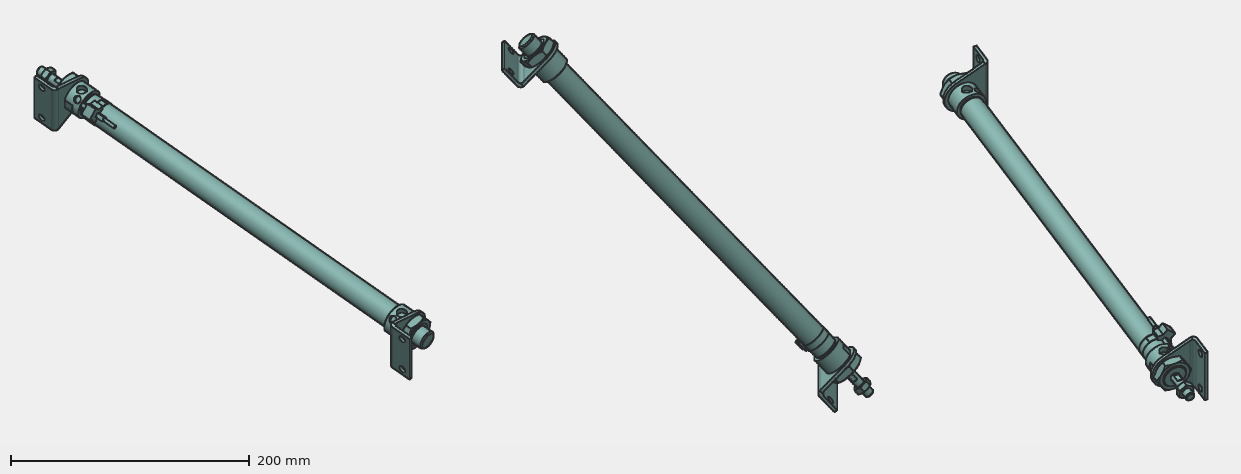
import cadquery as cq
import math


TOTAL_LENGTH = 439.0
FOOT_LENGTH = 23.3
REAR_MOUNT_X = TOTAL_LENGTH - FOOT_LENGTH
FRONT_MOUNT_X = 40.0

TUBE_DIAMETER = 22.0
HEAD_DIAMETER = 27.0
HEAD_LENGTH = 16.0
CRIMP_GROOVE_DIAMETER = 21.5
CRIMP_GROOVE_WIDTH = 1.5
NECK_DIAMETER = 22.0
NECK_PROTRUSION = 1.0
NECK_CHAMFER = 1.0
TAIL_DIAMETER = 17.0
TAIL_END_X = 437.2
TAIL_CHAMFER = 1.5
FLATS_ACROSS = 25.5
FLATS_LENGTH = 8.8
PORT_DIAMETER = 8.8
PORT_DEPTH = 5.5
PORT_FROM_MOUNT = 8.0
SCREW_HOLE_DIAMETER = 6.5
SCREW_HOLE_DEPTH = 3.5
SCREW_HOLE_FROM_MOUNT = 10.5
SCREW_HOLE_ANGLE = 40.0

ROD_DIAMETER = 8.5
ROD_CHAMFER = 1.0
ROD_FLATS_ACROSS = 7.0
ROD_FLATS_START = 19.0
ROD_FLATS_LENGTH = 7.5
ROD_NUT_ACROSS = 13.0
ROD_NUT_START = 7.0
ROD_NUT_THICKNESS = 5.5
ROD_NUT_TURN = 90.0

MOUNT_NUT_ACROSS = 28.5
MOUNT_NUT_THICKNESS = 8.0
MOUNT_NUT_TURN = 0.0

SHEET = 3.0
BEND_INNER_RADIUS = 3.5
BEND_OUTER_RADIUS = 4.0
FOOT_HEIGHT = 25.0
FOOT_WIDTH = 54.0
FOOT_TOP_RADIUS = 17.0
FOOT_HOLE_DIAMETER = 6.5
FOOT_HOLE_SPACING = 40.0
FOOT_HOLE_FROM_EDGE = 8.5

SWITCH_ANGLE = 45.0
BAND_X = 69.0
BAND_WIDTH = 6.5
BAND_DIAMETER = 22.5
SADDLE_DIAMETER = 23.3
SADDLE_HALF_ANGLE = 70.0
LUG_LENGTH = 9.0
LUG_WIDTH = 10.5
LUG_TOP = 21.5
BASE_SHOULDER = 16.0
BASE_SPREAD = 3.5
SWITCH_START = 56.5
SWITCH_END = 80.8
SWITCH_WIDTH = 4.0
SWITCH_TOP = 14.5
LEAD_DIAMETER = 3.0
LEAD_LENGTH = 12.5
LEAD_HEIGHT = 12.7


def axial_cylinder(diameter, start, end):
    """Cylinder on the main axis from X = start to X = end."""
    return cq.Workplane("YZ").workplane(offset=start).circle(diameter / 2).extrude(end - start)


def hex_nut(across_flats, bore, start, thickness, corner_angle):
    """Hexagon nut on the main axis with both rims of its corners turned off at 30 degrees."""
    across_corners = across_flats / math.cos(math.pi / 6)
    blank = (
        cq.Workplane("YZ")
        .workplane(offset=start)
        .polygon(6, across_corners)
        .extrude(thickness)
        .rotate((0, 0, 0), (1, 0, 0), corner_angle)
    )
    corner_height = (across_corners - across_flats) / 2
    turned = (
        axial_cylinder(across_corners, start, start + thickness)
        .faces("<X or >X")
        .chamfer(corner_height * math.tan(math.pi / 6), corner_height)
    )
    return blank.intersect(turned).cut(axial_cylinder(bore, start, start + thickness))


def radial_hole(diameter, depth, x, angle):
    """Blind hole into a head, its axis turned by angle from +Z towards -Y."""
    bottom = HEAD_DIAMETER / 2 - depth
    drill = cq.Workplane("XY").workplane(offset=bottom).center(x, 0).circle(diameter / 2).extrude(2 * depth)
    return drill.rotate((0, 0, 0), (1, 0, 0), angle)


def make_housing():
    front_head_end = FRONT_MOUNT_X + HEAD_LENGTH
    rear_head_start = REAR_MOUNT_X - HEAD_LENGTH
    neck_start = FRONT_MOUNT_X - SHEET - MOUNT_NUT_THICKNESS - NECK_PROTRUSION
    neck_end = REAR_MOUNT_X + SHEET + MOUNT_NUT_THICKNESS

    body = axial_cylinder(NECK_DIAMETER, neck_start, FRONT_MOUNT_X).faces("<X").chamfer(NECK_CHAMFER)
    body = body.union(axial_cylinder(HEAD_DIAMETER, FRONT_MOUNT_X, front_head_end))
    body = body.union(axial_cylinder(CRIMP_GROOVE_DIAMETER, front_head_end, rear_head_start))
    tube_start = front_head_end + CRIMP_GROOVE_WIDTH
    tube_end = rear_head_start - CRIMP_GROOVE_WIDTH
    body = body.union(axial_cylinder(TUBE_DIAMETER, tube_start, tube_end))
    body = body.union(axial_cylinder(HEAD_DIAMETER, rear_head_start, REAR_MOUNT_X))
    body = body.union(axial_cylinder(NECK_DIAMETER, REAR_MOUNT_X, neck_end))
    body = body.union(axial_cylinder(TAIL_DIAMETER, neck_end, TAIL_END_X).faces(">X").chamfer(TAIL_CHAMFER))

    for side in (1, -1):
        flat = cq.Workplane("XY").box(
            FLATS_LENGTH, HEAD_DIAMETER, HEAD_DIAMETER, centered=(False, True, True)
        )
        body = body.cut(flat.translate((FRONT_MOUNT_X, side * (FLATS_ACROSS + HEAD_DIAMETER) / 2, 0)))

    for mount_x, inward in ((FRONT_MOUNT_X, 1), (REAR_MOUNT_X, -1)):
        port_x = mount_x + inward * PORT_FROM_MOUNT
        screw_x = mount_x + inward * SCREW_HOLE_FROM_MOUNT
        body = body.cut(radial_hole(PORT_DIAMETER, PORT_DEPTH, port_x, 0))
        body = body.cut(radial_hole(SCREW_HOLE_DIAMETER, SCREW_HOLE_DEPTH, screw_x, SCREW_HOLE_ANGLE))

    return body.cut(axial_cylinder(ROD_DIAMETER, neck_start, front_head_end))


def make_rod():
    rod = axial_cylinder(ROD_DIAMETER, 0, FRONT_MOUNT_X + HEAD_LENGTH).faces("<X").chamfer(ROD_CHAMFER)
    for side in (1, -1):
        flat = cq.Workplane("XY").box(
            ROD_FLATS_LENGTH, ROD_DIAMETER, ROD_DIAMETER, centered=(False, True, True)
        )
        rod = rod.cut(flat.translate((ROD_FLATS_START, 0, side * (ROD_FLATS_ACROSS + ROD_DIAMETER) / 2)))
    return rod


def make_foot_bracket():
    """Rear foot bracket: upright sheet against the head, sole pointing to +X."""
    profile = (
        cq.Workplane("XY")
        .moveTo(0, FOOT_TOP_RADIUS)
        .lineTo(0, -FOOT_HEIGHT)
        .lineTo(FOOT_LENGTH, -FOOT_HEIGHT)
        .lineTo(FOOT_LENGTH, -FOOT_HEIGHT + SHEET)
        .lineTo(SHEET, -FOOT_HEIGHT + SHEET)
        .lineTo(SHEET, FOOT_TOP_RADIUS)
        .close()
        .extrude(FOOT_WIDTH / 2, both=True)
    )
    profile = profile.edges(cq.selectors.NearestToPointSelector((0, -FOOT_HEIGHT, 0))).fillet(
        BEND_OUTER_RADIUS
    )
    profile = profile.edges(
        cq.selectors.NearestToPointSelector((SHEET, -FOOT_HEIGHT + SHEET, 0))
    ).fillet(BEND_INNER_RADIUS)

    half_width = FOOT_WIDTH / 2
    shoulder_y = -FOOT_HEIGHT + BEND_OUTER_RADIUS
    shoulder_distance = math.hypot(shoulder_y, half_width)
    tangent_angle = math.atan2(half_width, shoulder_y) - math.acos(FOOT_TOP_RADIUS / shoulder_distance)
    tangent_y = FOOT_TOP_RADIUS * math.cos(tangent_angle)
    tangent_z = FOOT_TOP_RADIUS * math.sin(tangent_angle)
    outline = (
        cq.Workplane("YZ")
        .moveTo(-FOOT_HEIGHT, -half_width)
        .lineTo(shoulder_y, -half_width)
        .lineTo(tangent_y, -tangent_z)
        .threePointArc((FOOT_TOP_RADIUS, 0), (tangent_y, tangent_z))
        .lineTo(shoulder_y, half_width)
        .lineTo(-FOOT_HEIGHT, half_width)
        .close()
        .extrude(FOOT_LENGTH)
    )
    holes = (
        cq.Workplane("XZ")
        .pushPoints(
            [(FOOT_LENGTH - FOOT_HOLE_FROM_EDGE, side * FOOT_HOLE_SPACING / 2) for side in (1, -1)]
        )
        .circle(FOOT_HOLE_DIAMETER / 2)
        .extrude(FOOT_HEIGHT)
    )
    neck_hole = axial_cylinder(NECK_DIAMETER, 0, SHEET)
    return profile.intersect(outline).cut(holes).cut(neck_hole)


def make_switch():
    """Clamp band with lug, switch and lead stub, built towards +Z and then turned."""
    band_start = BAND_X - BAND_WIDTH / 2
    band_end = BAND_X + BAND_WIDTH / 2
    clamp = axial_cylinder(BAND_DIAMETER, band_start, band_end)

    reach = SADDLE_DIAMETER
    half_angle = math.radians(SADDLE_HALF_ANGLE)
    sector_y = reach * math.sin(half_angle)
    sector_z = reach * math.cos(half_angle)
    sector = (
        cq.Workplane("YZ")
        .workplane(offset=band_start)
        .polyline([(0, 0), (sector_y, sector_z), (0, reach), (-sector_y, sector_z)])
        .close()
        .extrude(BAND_WIDTH)
    )
    clamp = clamp.union(axial_cylinder(SADDLE_DIAMETER, band_start, band_end).intersect(sector))

    base_half_width = LUG_WIDTH / 2 + BASE_SPREAD
    base_edge = BASE_SHOULDER - BASE_SPREAD
    lug = (
        cq.Workplane("YZ")
        .polyline(
            [
                (0, base_edge - base_half_width),
                (-base_half_width, base_edge),
                (-LUG_WIDTH / 2, BASE_SHOULDER),
                (-LUG_WIDTH / 2, LUG_TOP),
                (LUG_WIDTH / 2, LUG_TOP),
                (LUG_WIDTH / 2, BASE_SHOULDER),
                (base_half_width, base_edge),
            ]
        )
        .close()
        .extrude(LUG_LENGTH / 2, both=True)
    )
    switch_length = SWITCH_END - SWITCH_START
    switch = cq.Workplane("XY").box(
        switch_length, SWITCH_WIDTH, SWITCH_TOP, centered=(False, True, False)
    )
    lead = axial_cylinder(LEAD_DIAMETER, SWITCH_END, SWITCH_END + LEAD_LENGTH)
    clamp = clamp.union(lug.translate((BAND_X, 0, 0)))
    clamp = clamp.union(switch.translate((SWITCH_START, 0, 0)))
    clamp = clamp.union(lead.translate((0, 0, LEAD_HEIGHT)))

    clamp = clamp.cut(axial_cylinder(TUBE_DIAMETER, SWITCH_START, SWITCH_END + LEAD_LENGTH))
    return clamp.rotate((0, 0, 0), (1, 0, 0), SWITCH_ANGLE)


housing = make_housing()
rod = make_rod()
rod_nut = hex_nut(ROD_NUT_ACROSS, ROD_DIAMETER, ROD_NUT_START, ROD_NUT_THICKNESS, ROD_NUT_TURN)
mount_nut_starts = [FRONT_MOUNT_X - SHEET - MOUNT_NUT_THICKNESS, REAR_MOUNT_X + SHEET]
mount_nuts = [
    hex_nut(MOUNT_NUT_ACROSS, NECK_DIAMETER, start, MOUNT_NUT_THICKNESS, MOUNT_NUT_TURN)
    for start in mount_nut_starts
]
rear_bracket = make_foot_bracket().translate((REAR_MOUNT_X, 0, 0))
front_bracket = make_foot_bracket().mirror("YZ").translate((FRONT_MOUNT_X, 0, 0))
switch = make_switch()

result = cq.Compound.makeCompound(
    [
        housing.val(),
        rod.val(),
        rod_nut.val(),
        *[nut.val() for nut in mount_nuts],
        front_bracket.val(),
        rear_bracket.val(),
        switch.val(),
    ]
)